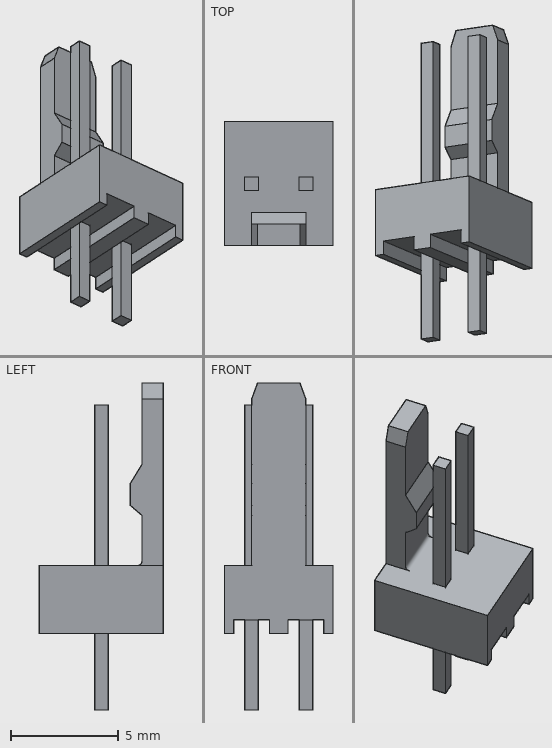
import cadquery as cq

total_height = 15.26
housing_width = 5.08
housing_depth = 5.8

pin_count = 2
pin_pitch = 2.53
pin_size = 0.64
pin_from_front = 2.88
pin_top_drop = 1.02
pin_height = total_height - pin_top_drop
pin_positions = [((i - (pin_count - 1) / 2) * pin_pitch, pin_from_front) for i in range(pin_count)]

base_bottom = 3.57
base_height = 3.17
base_top = base_bottom + base_height
channel_width = 1.66
channel_height = 0.64

wall_width = pin_pitch
wall_thickness = 1.0
wall_corner_width = 0.27
wall_corner_height = 0.75
root_radius = 0.2
ridge_depth = 0.55
ridge_lower_start = 2.33
ridge_lower_end = 2.81
ridge_upper_start = 3.82
ridge_upper_end = 4.72


def make_base():
    base = cq.Workplane("XY").box(
        housing_width, housing_depth, base_height, centered=(True, False, False)
    )
    return base.translate((0, 0, base_bottom))


def make_latch_wall():
    """Side profile in Y and Z, extruded along X, with its top side corners cut off."""
    ridge_back = wall_thickness + ridge_depth
    wall = (
        cq.Workplane("YZ")
        .moveTo(0, base_top)
        .lineTo(wall_thickness + root_radius, base_top)
        .radiusArc((wall_thickness, base_top + root_radius), root_radius)
        .lineTo(wall_thickness, base_top + ridge_lower_start)
        .lineTo(ridge_back, base_top + ridge_lower_end)
        .lineTo(ridge_back, base_top + ridge_upper_start)
        .lineTo(wall_thickness, base_top + ridge_upper_end)
        .lineTo(wall_thickness, total_height)
        .lineTo(0, total_height)
        .close()
        .extrude(wall_width / 2, both=True)
    )
    half_width = wall_width / 2
    corner_bottom = total_height - wall_corner_height
    front_outline = (
        cq.Workplane("XZ")
        .moveTo(-half_width, base_top)
        .lineTo(half_width, base_top)
        .lineTo(half_width, corner_bottom)
        .lineTo(half_width - wall_corner_width, total_height)
        .lineTo(wall_corner_width - half_width, total_height)
        .lineTo(-half_width, corner_bottom)
        .close()
        .extrude(-housing_depth)
    )
    return wall.intersect(front_outline)


def make_channels():
    """Open channels running front to back under the base, one around each pin."""
    return (
        cq.Workplane("XY", origin=(0, 0, base_bottom))
        .pushPoints([(x, housing_depth / 2) for x, _ in pin_positions])
        .rect(channel_width, housing_depth)
        .extrude(channel_height)
    )


def make_pin(position):
    return cq.Workplane("XY").center(*position).rect(pin_size, pin_size).extrude(pin_height)


pins = [make_pin(position) for position in pin_positions]

housing = make_base().union(make_latch_wall()).cut(make_channels())
for pin in pins:
    housing = housing.cut(pin)

result = cq.Compound.makeCompound([housing.val(), *[pin.val() for pin in pins]])